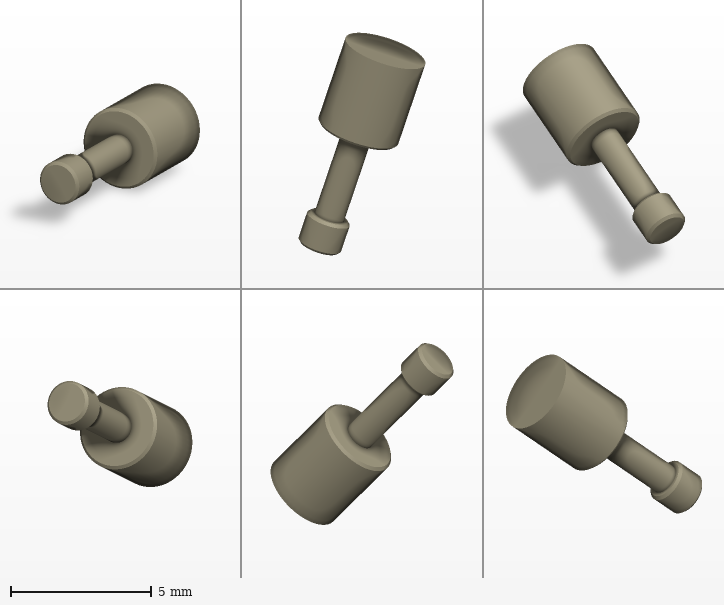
import cadquery as cq

total_length = 7.75
body_diameter = 3.0
body_length = 3.25
shaft_diameter = 1.1
head_diameter = 1.6
head_length = 1.2
edge_chamfer = 0.1

shaft_length = total_length - body_length - head_length


def cylinder_along_y(diameter, length, start_y):
    """Cylinder on the Y axis, running from start_y toward +Y."""
    plane = cq.Workplane("XZ", origin=(0, start_y, 0))
    return plane.circle(diameter / 2).extrude(-length)


head = cylinder_along_y(head_diameter, head_length, 0).edges("%CIRCLE").chamfer(edge_chamfer)

shaft = cylinder_along_y(shaft_diameter, shaft_length, head_length)

body = cylinder_along_y(body_diameter, body_length, head_length + shaft_length)
body = body.faces("<Y").edges().chamfer(edge_chamfer)

result = head.union(shaft).union(body)